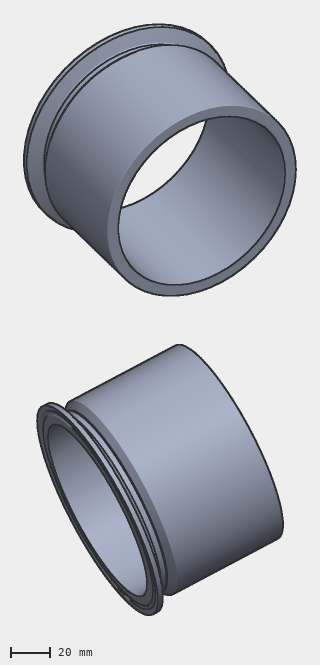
import cadquery as cq
import math

total_length = 76.2
bore_radius = 97.5 / 2
flange_radius = 118.9 / 2
neck_radius = 102.9 / 2
body_radius = 110.5 / 2

rim_thickness = 3.0
clamp_angle = 20
flange_root = rim_thickness + (flange_radius - neck_radius) * math.tan(math.radians(clamp_angle))
flange_root_fillet = 1.0

neck_end = 10.1
shoulder_angle = 45
shoulder_end = neck_end + (body_radius - neck_radius) / math.tan(math.radians(shoulder_angle))
shoulder_fillet = 0.6

end_fillet = 0.4

groove_mean_radius = 55.2
groove_depth = 1.1
groove_arc_radius = 1.3
groove_half_width = math.sqrt(groove_arc_radius**2 - (groove_arc_radius - groove_depth) ** 2)
groove_inner_radius = groove_mean_radius - groove_half_width
groove_outer_radius = groove_mean_radius + groove_half_width
groove_lip_fillet = 0.7


def box_around_axis(x, radius, margin):
    """Selector for whole edges that fit in a thin square slab centred on the X axis."""
    return cq.selectors.BoxSelector(
        (x - margin, -radius, -radius), (x + margin, radius, radius), boundingbox=True
    )


def circle_at(x, radius):
    """Selector for the circular edge of the given radius at position x."""
    margin = 0.01
    return box_around_axis(x, radius + margin, margin) - box_around_axis(x, radius - margin, margin)


def revolve_about_x(profile):
    """Turn a closed profile in the XY plane around the X axis."""
    return profile.revolve(360, (0, 0, 0), (1, 0, 0))


def make_ferrule():
    """Tube with flange, relief neck and conical shoulder, all outer corners sharp."""
    return revolve_about_x(
        cq.Workplane("XY")
        .moveTo(0, bore_radius)
        .lineTo(0, flange_radius)
        .lineTo(rim_thickness, flange_radius)
        .lineTo(flange_root, neck_radius)
        .lineTo(neck_end, neck_radius)
        .lineTo(shoulder_end, body_radius)
        .lineTo(total_length, body_radius)
        .lineTo(total_length, bore_radius)
        .close()
    )


def make_groove():
    """Ring cutter for the gasket groove."""
    return revolve_about_x(
        cq.Workplane("XY")
        .moveTo(0, groove_inner_radius)
        .threePointArc((groove_depth, groove_mean_radius), (0, groove_outer_radius))
        .close()
    )


rounded_corners = [
    (flange_root, neck_radius, flange_root_fillet),
    (neck_end, neck_radius, shoulder_fillet),
    (shoulder_end, body_radius, shoulder_fillet),
    (total_length, body_radius, end_fillet),
    (0, groove_inner_radius, groove_lip_fillet),
    (0, groove_outer_radius, groove_lip_fillet),
]

result = make_ferrule().cut(make_groove())
for corner_x, corner_radius, fillet_radius in rounded_corners:
    result = result.edges(circle_at(corner_x, corner_radius)).fillet(fillet_radius)